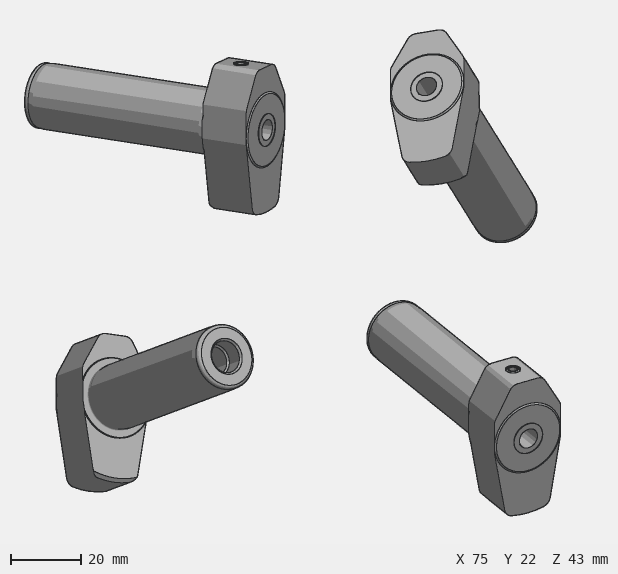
import math

import cadquery as cq


overall_length = 75.0
head_start = 60.2
head_end = 74.5

pin_radius = 19.05 / 2
neck_radius = 18.65 / 2
tip_face_radius = 16.9 / 2
bead_start = 0.2
bead_start_radius = 17.8 / 2
bead_peak = 0.95
bead_peak_radius = 18.9 / 2
bead_end = 1.58
tip_relief_end = 3.2
pin_end = 58.0
neck_start = 58.9

collar_base_radius = 23.5 / 2
collar_thickness = 0.2
collar_face = head_start - collar_thickness
collar_fillet = 0.4
boss_base_radius = 11.0
boss_end = 74.8
boss_face_radius = 10.5
end_pad_radius = 9.5 / 2

drill_point_half_angle = math.radians(59)

bore_mouth_radius = 10.5 / 2
bore_radius = 9.3 / 2
bore_depth = 6.0
pilot_radius = 8.2 / 2
pilot_depth = 40.0
through_radius = 6.0 / 2

head_half_width = 11.0
head_top = 18.5
head_top_half_width = 5.0
shoulder_angle = math.radians(60)
taper_start = -2.0
taper_angle = math.radians(10)
head_bottom_radius = 24.5
bottom_chamfer = 1.0
head_corner_fillet = 3.0
position_tolerance = 0.001

screw_x = 66.4
screw_radius = 4.0 / 2
screw_seat_radius = 4.4 / 2
screw_face_radius = 3.0 / 2
screw_socket_radius = 2.31 / 2
screw_socket_depth = 2.0


def cylinder(start, end, radius):
    """Cylinder on the pin axis from x = start to x = end."""
    return cq.Workplane("YZ").workplane(offset=start).circle(radius).extrude(end - start)


def revolve_about_x(profile):
    """Revolve an (x, radius) profile about the pin axis."""
    return profile.close().revolve(360, (0, 0, 0), (1, 0, 0))


def make_disc(start, end, start_radius, end_radius):
    """Conical disc on the pin axis between two stations."""
    profile = (
        cq.Workplane("XY")
        .moveTo(start, 0)
        .lineTo(start, start_radius)
        .lineTo(end, end_radius)
        .lineTo(end, 0)
    )
    return revolve_about_x(profile)


def make_pin():
    """Pin with a beaded tip, a tapered relief behind it and a filleted neck at the collar."""
    neck_fillet_radius = neck_radius + collar_fillet
    profile = (
        cq.Workplane("XY")
        .lineTo(0, tip_face_radius)
        .lineTo(bead_start, bead_start_radius)
        .threePointArc((bead_peak, bead_peak_radius), (bead_end, neck_radius))
        .lineTo(tip_relief_end, pin_radius)
        .lineTo(pin_end, pin_radius)
        .lineTo(neck_start, neck_radius)
        .lineTo(collar_face - collar_fillet, neck_radius)
        .radiusArc((collar_face, neck_fillet_radius), -collar_fillet)
        .lineTo(head_start, neck_fillet_radius)
        .lineTo(head_start, 0)
    )
    return revolve_about_x(profile)


def head_prism(start, end):
    """Prism with the head outline; the lower end is rounded about the pin axis."""
    shoulder_z = head_top - (head_half_width - head_top_half_width) * math.tan(shoulder_angle)
    taper_end_half_width = head_half_width - (taper_start + head_bottom_radius) * math.tan(taper_angle)
    right_side = [
        (head_top_half_width, head_top),
        (head_half_width, shoulder_z),
        (head_half_width, taper_start),
        (taper_end_half_width, -head_bottom_radius),
    ]
    left_side = [(-y, z) for y, z in reversed(right_side)]
    prism = (
        cq.Workplane("YZ")
        .workplane(offset=start)
        .polyline(right_side + left_side)
        .close()
        .extrude(end - start)
    )
    return prism.intersect(cylinder(start, end, head_bottom_radius))


def make_head():
    """Head plate with rounded corners and a turned chamfer on its lower pin-side edge."""

    def is_rounded_corner(edge):
        return abs(edge.Center().z - taper_start) > position_tolerance

    plate = head_prism(head_start, head_end)
    corners = plate.edges("|X").filter(is_rounded_corner)
    plate = corners.fillet(head_corner_fillet)
    envelope = cylinder(head_start, head_end, head_bottom_radius).edges("<X").chamfer(bottom_chamfer)
    return plate.intersect(envelope)


def make_collar():
    """Thin conical disc on the pin side, trimmed to the head outline."""
    collar_face_radius = collar_base_radius - collar_thickness
    disc = make_disc(collar_face, head_start, collar_face_radius, collar_base_radius)
    return disc.intersect(head_prism(collar_face, head_start))


def make_end_boss():
    """Low conical boss with a central pad on the far side of the head."""
    boss = make_disc(head_end, boss_end, boss_base_radius, boss_face_radius)
    return boss.union(cylinder(boss_end, overall_length, end_pad_radius))


def make_bore():
    """Stepped through bore with a chamfered mouth, a 45 degree step and a drill-point step."""
    pilot_start = bore_depth + bore_radius - pilot_radius
    through_start = pilot_depth + (pilot_radius - through_radius) / math.tan(drill_point_half_angle)
    profile = (
        cq.Workplane("XY")
        .lineTo(0, bore_mouth_radius)
        .lineTo(bore_mouth_radius - bore_radius, bore_radius)
        .lineTo(bore_depth, bore_radius)
        .lineTo(pilot_start, pilot_radius)
        .lineTo(pilot_depth, pilot_radius)
        .lineTo(through_start, through_radius)
        .lineTo(overall_length, through_radius)
        .lineTo(overall_length, 0)
    )
    return revolve_about_x(profile)


def make_screw_recess():
    """Ring groove around the set screw and its round socket with a conical bottom."""
    seat_depth = screw_seat_radius - screw_radius
    groove_depth = screw_radius - screw_face_radius
    socket_point_depth = screw_socket_depth + screw_socket_radius / math.tan(drill_point_half_angle)
    workplane = cq.Workplane("XZ", origin=(screw_x, 0, head_top))
    groove = (
        workplane.moveTo(screw_seat_radius, 0)
        .lineTo(screw_radius, -seat_depth)
        .lineTo(screw_radius, -groove_depth)
        .lineTo(screw_face_radius, 0)
        .close()
        .revolve(360, (0, 0, 0), (0, 1, 0))
    )
    socket = (
        workplane.lineTo(screw_socket_radius, 0)
        .lineTo(screw_socket_radius, -screw_socket_depth)
        .lineTo(0, -socket_point_depth)
        .close()
        .revolve(360, (0, 0, 0), (0, 1, 0))
    )
    return groove.union(socket)


solid = make_pin().union(make_collar()).union(make_head()).union(make_end_boss())
result = solid.cut(make_bore()).cut(make_screw_recess())